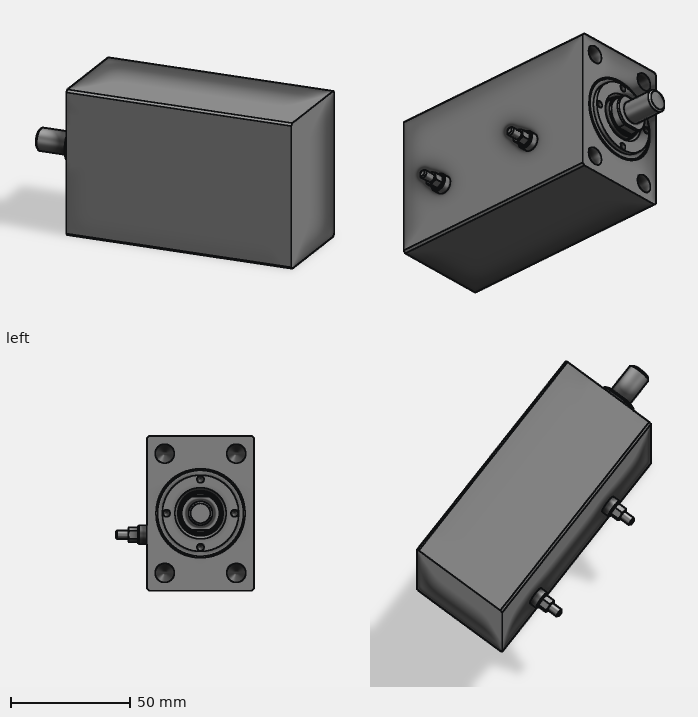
import cadquery as cq
import math

TOTAL_LENGTH = 125.0

ROD_PROJECTION = 22.0
BLOCK_DEPTH = 45.0
BLOCK_HEIGHT = 65.0
BLOCK_CHAMFER = 1.0
BLOCK_LENGTH = TOTAL_LENGTH - ROD_PROJECTION

MOUNT_DIAMETER = 8.0
MOUNT_DEPTH = 20.0
MOUNT_SPACING_Y = 30.0
MOUNT_SPACING_Z = 50.0
DRILL_POINT_ANGLE = 118.0

GLAND_RADIUS = 18.0
GLAND_MOUTH_CHAMFER = 0.7
GLAND_POCKET_DEPTH = 10.0
BOSS_RADIUS = 16.0
BOSS_PROJECTION = 2.0
BOSS_FACE_X = ROD_PROJECTION - BOSS_PROJECTION
POCKET_FLOOR_X = ROD_PROJECTION + GLAND_POCKET_DEPTH

SPANNER_DIAMETER = 3.0
SPANNER_DEPTH = 3.0
SPANNER_CIRCLE_RADIUS = 14.2
SPANNER_COUNT = 4

WIPER_RADIUS = 9.0
WIPER_CHAMFER = 0.5
WIPER_PROJECTION = 1.1
WIPER_SEAT_DEPTH = 3.0
WIPER_FACE_X = BOSS_FACE_X - WIPER_PROJECTION
WIPER_SEAT_X = BOSS_FACE_X + WIPER_SEAT_DEPTH
MOUTH_OUTER_RADIUS = 10.8
SEAT_RADIUS = 9.5
MOUTH_DEPTH = MOUTH_OUTER_RADIUS - SEAT_RADIUS

ROD_RADIUS = 8.2
ROD_CHAMFER_LENGTH = 0.8
ROD_CHAMFER_RISE = 0.4
SPIGOT_RADIUS = 5.0
SPIGOT_CHAMFER = 0.9
SPIGOT_LENGTH = 14.8
FLATS_WIDTH = 14.5

SENSOR_FIRST_X = 52.0
SENSOR_PITCH = 50.0
SENSOR_COUNT = 2
SENSOR_Z = -9.0
BASE_RADIUS = 4.0
BASE_HEIGHT = 3.8
BASE_CHAMFER = 0.5
HEX_SIDES = 6
HEX_ACROSS_FLATS = 5.5
HEX_TOP = 7.8
HEX_CHAMFER = 0.4
STUD_RADIUS = 1.9
STUD_TOP = 13.0
STUD_CHAMFER = 0.6


def turned_about_x(outline):
    """Solid of revolution about the X axis from (x, radius) points."""
    return cq.Workplane("XY").polyline(outline).close().revolve(360, (0, 0, 0), (1, 0, 0))


def drilled_hole(diameter, depth, face_x, y, z):
    """Blind hole along +X from face_x with a conical drill point."""
    radius = diameter / 2
    point_depth = radius / math.tan(math.radians(DRILL_POINT_ANGLE / 2))
    outline = [(0, 0), (depth + point_depth, 0), (depth, radius), (0, radius)]
    return turned_about_x(outline).translate((face_x, y, z))


def make_housing():
    block = (
        cq.Workplane("XY")
        .box(BLOCK_LENGTH, BLOCK_DEPTH, BLOCK_HEIGHT, centered=(False, True, True))
        .edges("|X")
        .chamfer(BLOCK_CHAMFER)
        .translate((ROD_PROJECTION, 0, 0))
    )
    pocket = turned_about_x([
        (ROD_PROJECTION, 0),
        (ROD_PROJECTION, GLAND_RADIUS + GLAND_MOUTH_CHAMFER),
        (ROD_PROJECTION + GLAND_MOUTH_CHAMFER, GLAND_RADIUS),
        (POCKET_FLOOR_X, GLAND_RADIUS),
        (POCKET_FLOOR_X, 0),
    ])
    block = block.cut(pocket)
    for side_y in (-1, 1):
        for side_z in (-1, 1):
            y = side_y * MOUNT_SPACING_Y / 2
            z = side_z * MOUNT_SPACING_Z / 2
            block = block.cut(drilled_hole(MOUNT_DIAMETER, MOUNT_DEPTH, ROD_PROJECTION, y, z))
    return block


def make_gland():
    gland = turned_about_x([
        (BOSS_FACE_X, MOUTH_OUTER_RADIUS),
        (BOSS_FACE_X, BOSS_RADIUS),
        (ROD_PROJECTION, BOSS_RADIUS),
        (ROD_PROJECTION, GLAND_RADIUS),
        (POCKET_FLOOR_X, GLAND_RADIUS),
        (POCKET_FLOOR_X, ROD_RADIUS),
        (WIPER_SEAT_X, ROD_RADIUS),
        (WIPER_SEAT_X, SEAT_RADIUS),
        (BOSS_FACE_X + MOUTH_DEPTH, SEAT_RADIUS),
    ])
    for index in range(SPANNER_COUNT):
        angle = 2 * math.pi * index / SPANNER_COUNT
        y = SPANNER_CIRCLE_RADIUS * math.cos(angle)
        z = SPANNER_CIRCLE_RADIUS * math.sin(angle)
        gland = gland.cut(drilled_hole(SPANNER_DIAMETER, SPANNER_DEPTH, BOSS_FACE_X, y, z))
    return gland


def make_wiper():
    return turned_about_x([
        (WIPER_FACE_X, ROD_RADIUS),
        (WIPER_FACE_X, WIPER_RADIUS - WIPER_CHAMFER),
        (WIPER_FACE_X + WIPER_CHAMFER, WIPER_RADIUS),
        (WIPER_SEAT_X, WIPER_RADIUS),
        (WIPER_SEAT_X, ROD_RADIUS),
    ])


def make_rod():
    spigot = turned_about_x([
        (0, 0),
        (0, SPIGOT_RADIUS - SPIGOT_CHAMFER),
        (SPIGOT_CHAMFER, SPIGOT_RADIUS),
        (SPIGOT_LENGTH, SPIGOT_RADIUS),
        (SPIGOT_LENGTH, 0),
    ])
    body = turned_about_x([
        (SPIGOT_LENGTH, 0),
        (SPIGOT_LENGTH, ROD_RADIUS),
        (POCKET_FLOOR_X, ROD_RADIUS),
        (POCKET_FLOOR_X, 0),
    ])
    flats_length = WIPER_FACE_X - SPIGOT_LENGTH
    flats_x = SPIGOT_LENGTH + flats_length / 2
    waste_height = ROD_RADIUS
    for side in (-1, 1):
        z = side * (FLATS_WIDTH + waste_height) / 2
        waste = cq.Workplane("XY").box(flats_length, 2 * ROD_RADIUS, waste_height)
        body = body.cut(waste.translate((flats_x, 0, z)))
    body = body.faces("<X").chamfer(ROD_CHAMFER_RISE, ROD_CHAMFER_LENGTH)
    return spigot.union(body)


def make_sensor(x):
    """Round base, hexagon and stud standing on the +Y face of the housing."""
    base = cq.Workplane("XY").circle(BASE_RADIUS).extrude(BASE_HEIGHT).faces(">Z").chamfer(BASE_CHAMFER)

    hex_corner_radius = HEX_ACROSS_FLATS / math.sqrt(3)
    hexagon = cq.Workplane("XY").polygon(HEX_SIDES, 2 * hex_corner_radius).extrude(HEX_TOP)
    hex_envelope = (
        cq.Workplane("XY").circle(hex_corner_radius).extrude(HEX_TOP).faces(">Z").chamfer(HEX_CHAMFER)
    )
    hexagon = hexagon.intersect(hex_envelope)

    stud = cq.Workplane("XY").circle(STUD_RADIUS).extrude(STUD_TOP).faces(">Z").chamfer(STUD_CHAMFER)

    sensor = base.union(hexagon).union(stud)
    sensor = sensor.rotate((0, 0, 0), (1, 0, 0), -90)
    sensor = sensor.rotate((0, 0, 0), (0, 1, 0), 90)
    return sensor.translate((x, BLOCK_DEPTH / 2, SENSOR_Z))


housing = make_housing()
gland = make_gland()
wiper = make_wiper()
rod = make_rod()
sensors = [make_sensor(SENSOR_FIRST_X + index * SENSOR_PITCH) for index in range(SENSOR_COUNT)]

result = cq.Compound.makeCompound([
    housing.val(),
    gland.val(),
    wiper.val(),
    rod.val(),
    *[sensor.val() for sensor in sensors],
])